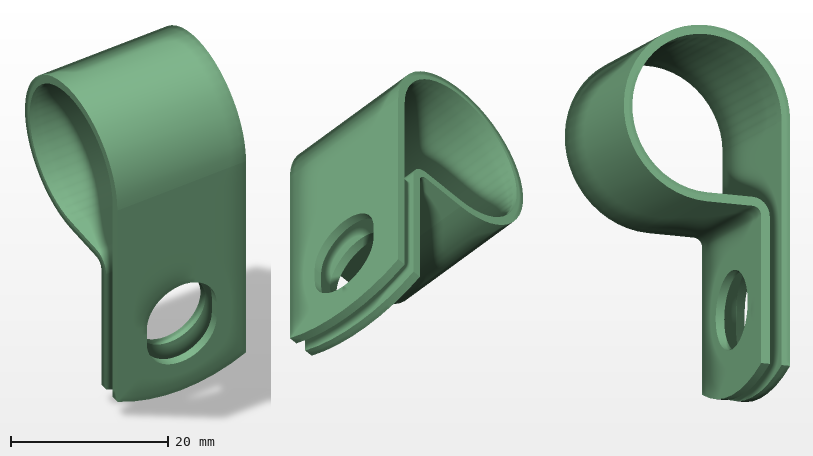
import cadquery as cq

height = 45.65
strap_width = 19.05
thickness = 1.2
loop_radius = 11.525
leg_gap = 1.65
bend_inner_radius = 1.2
hole_diameter = 10.3
slot_length = 12.8
hole_rise = 11.15
tip_rise = 2.15

bore_radius = loop_radius - thickness
bottom_z = loop_radius - height
hole_z = bottom_z + hole_rise
bend_outer_radius = bend_inner_radius + thickness
short_leg_outer_x = bore_radius - leg_gap
short_leg_inner_x = short_leg_outer_x - thickness
gap_middle_x = bore_radius - leg_gap / 2
bend_x = short_leg_outer_x - bend_outer_radius
bend_z = -bore_radius - bend_outer_radius


def make_strap():
    """Bent strip: long leg, three-quarter loop, bend and short leg."""
    diagonal = 0.5 ** 0.5
    profile = (
        cq.Workplane("XZ")
        .moveTo(loop_radius, bottom_z)
        .lineTo(loop_radius, 0)
        .threePointArc((-loop_radius * diagonal, loop_radius * diagonal), (0, -loop_radius))
        .lineTo(bend_x, -loop_radius)
        .radiusArc((short_leg_inner_x, bend_z), bend_inner_radius)
        .lineTo(short_leg_inner_x, bottom_z)
        .lineTo(short_leg_outer_x, bottom_z)
        .lineTo(short_leg_outer_x, bend_z)
        .radiusArc((bend_x, -bore_radius), -bend_outer_radius)
        .lineTo(0, -bore_radius)
        .threePointArc((-bore_radius * diagonal, bore_radius * diagonal), (bore_radius, 0))
        .lineTo(bore_radius, bottom_z)
        .close()
    )
    return profile.extrude(strap_width / 2, both=True)


def make_rounded_envelope():
    """Block around the strap whose lower end is a shallow arc."""
    half_width = strap_width / 2
    shoulder_z = bottom_z + tip_rise
    return (
        cq.Workplane("YZ")
        .moveTo(-half_width, loop_radius)
        .lineTo(-half_width, shoulder_z)
        .threePointArc((0, bottom_z), (half_width, shoulder_z))
        .lineTo(half_width, loop_radius)
        .close()
        .extrude(loop_radius, both=True)
    )


def make_bolt_hole():
    """Round cutter along X for the short leg, ending inside the gap between the legs."""
    return (
        cq.Workplane("YZ")
        .center(0, hole_z)
        .circle(hole_diameter / 2)
        .extrude(gap_middle_x)
    )


def make_bolt_slot():
    """Upright slot cutter for the long leg, starting inside the gap."""
    return (
        cq.Workplane("YZ", origin=(gap_middle_x, 0, 0))
        .center(0, hole_z)
        .slot2D(slot_length, hole_diameter, 90)
        .extrude(loop_radius)
    )


strap = make_strap().intersect(make_rounded_envelope())
result = strap.cut(make_bolt_hole()).cut(make_bolt_slot())